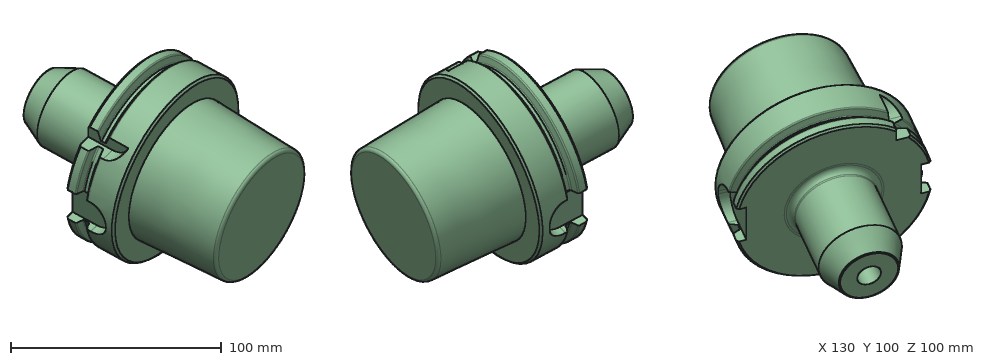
import cadquery as cq
import math

total_length = 130.0
flange_start = 51.0
flange_width = 29.0
flange_end = flange_start + flange_width
flange_radius = 100.0 / 2
flange_front_chamfer = 1.0
flange_rear_chamfer = 1.2

tip_radius = 15.2
tip_chamfer_width = 0.6
tip_chamfer_length = 0.3
nose_radius = 42.0 / 2
nose_cone_length = 12.7
bore_diameter = 12.0
bore_depth = 26.0

blend_start_radius = 41.9 / 2
blend_radius = 3.1
blend_lead_in = 1.0
blend_face_offset = 0.06

groove_center = flange_start + 9.0
groove_depth = 4.0
groove_top_half_width = 3.2
groove_floor_half_width = 1.5
groove_edge_radius = 0.85

shank_start_radius = 38.0
shank_end_radius = 35.5
shank_end_rounding = 1.8

slot_depth = 6.0
slot_floor_radius = flange_radius - slot_depth
narrow_slot_width = 20.0
narrow_slot_length = 24.5
wide_slot_width = 22.4
wide_slot_length = 23.7
wide_slot_corner_radius = 10.1
notch_offset = 31.5
notch_cutter_radius = 10.0
notch_straight_length = 14.2


def revolve_about_x(profile):
    return profile.close().revolve(360, (0, 0, 0), (1, 0, 0))


def make_nose():
    blend_end_x = flange_start - blend_face_offset
    blend_start_x = blend_end_x - blend_radius
    blend_end_radius = blend_start_radius + blend_radius
    arc_drop = blend_radius * math.sqrt(0.5)
    profile = (
        cq.Workplane("XZ")
        .lineTo(0, tip_radius - tip_chamfer_width)
        .lineTo(tip_chamfer_length, tip_radius)
        .lineTo(nose_cone_length, nose_radius)
        .lineTo(blend_start_x - blend_lead_in, nose_radius)
        .lineTo(blend_start_x, blend_start_radius)
        .threePointArc(
            (blend_start_x + arc_drop, blend_end_radius - arc_drop),
            (blend_end_x, blend_end_radius),
        )
        .lineTo(flange_start, blend_end_radius + blend_lead_in)
        .lineTo(flange_start, 0)
    )
    return revolve_about_x(profile)


def make_flange():
    groove_floor = flange_radius - groove_depth
    profile = (
        cq.Workplane("XZ")
        .moveTo(flange_start, 0)
        .lineTo(flange_start, flange_radius - flange_front_chamfer)
        .lineTo(flange_start + flange_front_chamfer, flange_radius)
        .lineTo(groove_center - groove_top_half_width, flange_radius)
        .lineTo(groove_center - groove_floor_half_width, groove_floor)
        .lineTo(groove_center + groove_floor_half_width, groove_floor)
        .lineTo(groove_center + groove_top_half_width, flange_radius)
        .lineTo(flange_end - flange_rear_chamfer, flange_radius)
        .lineTo(flange_end, flange_radius - flange_rear_chamfer)
        .lineTo(flange_end, 0)
    )
    groove_edges = cq.selectors.BoxSelector(
        (groove_center - groove_top_half_width - 0.1, -flange_radius, -flange_radius),
        (groove_center + groove_top_half_width + 0.1, flange_radius, flange_radius),
        boundingbox=False,
    )
    flange = revolve_about_x(profile)
    return flange.edges("%CIRCLE").edges(groove_edges).fillet(groove_edge_radius)


def make_shank():
    profile = (
        cq.Workplane("XZ")
        .moveTo(flange_end, 0)
        .lineTo(flange_end, shank_start_radius)
        .lineTo(total_length, shank_end_radius)
        .lineTo(total_length, 0)
    )
    return revolve_about_x(profile).faces(">X").edges().fillet(shank_end_rounding)


def drive_slot(width, length, corner_radius, side):
    """Slot with a rounded end, cut from the rim on the +Y (side=1) or -Y (side=-1) side."""
    half_width = width / 2
    straight_end = flange_start + length - corner_radius
    flat_half_width = half_width - corner_radius
    arc_offset = corner_radius * math.sqrt(0.5)
    outline = (
        cq.Workplane("XZ", origin=(0, side * slot_floor_radius, 0))
        .moveTo(flange_start, -half_width)
        .lineTo(straight_end, -half_width)
        .threePointArc(
            (straight_end + arc_offset, -flat_half_width - arc_offset),
            (flange_start + length, -flat_half_width),
        )
    )
    if flat_half_width > 0:
        outline = outline.lineTo(flange_start + length, flat_half_width)
    return (
        outline.threePointArc(
            (straight_end + arc_offset, flat_half_width + arc_offset),
            (straight_end, half_width),
        )
        .lineTo(flange_start, half_width)
        .close()
        .extrude(-side * slot_depth)
    )


def index_notch():
    """Corner notch on the -Y, +Z side whose end is swept by a cutter lying along Y."""
    cutter_center_z = notch_offset + notch_cutter_radius
    notch_depth = flange_radius - notch_offset
    arc_offset = notch_cutter_radius * math.sqrt(0.5)
    arc_center_x = flange_start + notch_straight_length
    return (
        cq.Workplane("XZ", origin=(0, -notch_offset, 0))
        .moveTo(flange_start, notch_offset)
        .lineTo(arc_center_x, notch_offset)
        .threePointArc(
            (arc_center_x + arc_offset, cutter_center_z - arc_offset),
            (arc_center_x + notch_cutter_radius, cutter_center_z),
        )
        .lineTo(arc_center_x + notch_cutter_radius, flange_radius)
        .lineTo(flange_start, flange_radius)
        .close()
        .extrude(notch_depth)
    )


narrow_slot_corner_radius = narrow_slot_width / 2
narrow_slot = drive_slot(narrow_slot_width, narrow_slot_length, narrow_slot_corner_radius, -1)
wide_slot = drive_slot(wide_slot_width, wide_slot_length, wide_slot_corner_radius, 1)
flange = make_flange().cut(narrow_slot).cut(wide_slot).cut(index_notch())
bore = cq.Workplane("YZ").circle(bore_diameter / 2).extrude(bore_depth)

result = make_nose().union(flange).union(make_shank()).cut(bore)